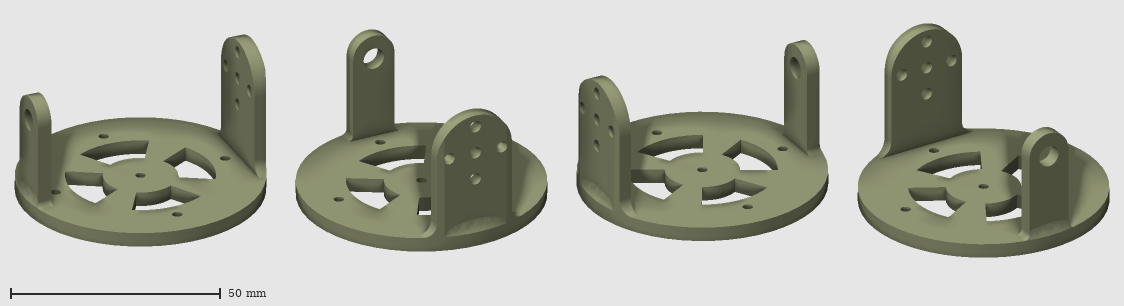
import cadquery as cq
import math

HOLES_PER_CIRCLE = 4
HOLE_ANGLE = 360 / HOLES_PER_CIRCLE

DISC_RADIUS = 30.0
DISC_THICKNESS = 3.6
SCREW_HOLE_DIAMETER = 2.5
SCREW_CIRCLE_RADIUS = 22.0

WINDOW_COUNT = 4
WINDOW_INNER_RADIUS = 9.0
WINDOW_OUTER_RADIUS = 18.0
WINDOW_HALF_ANGLE = 30.0

PIVOT_HEIGHT = 24.37
REAR_WIDTH = 20.0
REAR_INNER_Y = 25.25
REAR_OUTER_Y = 28.85
REAR_TOP_Z = PIVOT_HEIGHT + REAR_WIDTH / 2
REAR_FOOT_RADIUS = 3.4
HORN_HOLE_DIAMETER = 3.0
HORN_HOLE_OFFSET = 7.0

FRONT_WIDTH = 11.0
FRONT_INNER_Y = 25.5
FRONT_OUTER_Y = 29.0
FRONT_TOP_Z = 30.5
FRONT_FOOT_RADIUS = 1.4
PIVOT_HOLE_DIAMETER = 5.4

RIM_BLEND_RADIUS = 4.7
BLEND_SECTIONS = 9
BLEND_OVERLAP = 0.5
BLEND_CHORD_SHARE = 0.97


def polar(radius, angle):
    """Point at a radius and an angle in degrees."""
    return radius * math.cos(math.radians(angle)), radius * math.sin(math.radians(angle))


def make_disc():
    """Round base plate."""
    return cq.Workplane("XY").circle(DISC_RADIUS).extrude(DISC_THICKNESS)


def make_window(angle):
    """Ring sector between two radial sides, centred on an angle."""
    start = angle - WINDOW_HALF_ANGLE
    end = angle + WINDOW_HALF_ANGLE
    return (
        cq.Workplane("XY")
        .moveTo(*polar(WINDOW_INNER_RADIUS, start))
        .lineTo(*polar(WINDOW_OUTER_RADIUS, start))
        .threePointArc(polar(WINDOW_OUTER_RADIUS, angle), polar(WINDOW_OUTER_RADIUS, end))
        .lineTo(*polar(WINDOW_INNER_RADIUS, end))
        .threePointArc(polar(WINDOW_INNER_RADIUS, angle), polar(WINDOW_INNER_RADIUS, start))
        .close()
        .extrude(DISC_THICKNESS)
    )


def arm_plate(width, top_z, foot_radius, y_min, y_max):
    """Upright round-topped plate with flared feet, kept inside the disc rim."""
    half = width / 2
    foot = half + foot_radius
    foot_top = DISC_THICKNESS + foot_radius
    plate = (
        cq.Workplane("XZ", origin=(0, y_max, 0))
        .moveTo(-foot, 0)
        .lineTo(-foot, DISC_THICKNESS)
        .radiusArc((-half, foot_top), -foot_radius)
        .lineTo(-half, top_z - half)
        .threePointArc((0, top_z), (half, top_z - half))
        .lineTo(half, foot_top)
        .radiusArc((foot, DISC_THICKNESS), -foot_radius)
        .lineTo(foot, 0)
        .close()
        .extrude(y_max - y_min)
    )
    return plate.intersect(cq.Workplane("XY").circle(DISC_RADIUS).extrude(top_z))


def blend_section(x, outer_y):
    """Section across the rim blend: tangent to the arm face and ending on the top edge of the rim."""
    reach = math.sqrt(DISC_RADIUS**2 - x**2) - outer_y
    rise = math.sqrt(2 * RIM_BLEND_RADIUS * reach - reach**2)
    inner_y = outer_y - BLEND_OVERLAP
    return (
        cq.Workplane("YZ", origin=(x, 0, 0))
        .moveTo(inner_y, DISC_THICKNESS)
        .lineTo(outer_y + reach, DISC_THICKNESS)
        .radiusArc((outer_y, DISC_THICKNESS + rise), RIM_BLEND_RADIUS)
        .lineTo(inner_y, DISC_THICKNESS + rise)
        .close()
        .val()
    )


def rim_blend(outer_y, half_length):
    """Concave blend from the outer face of an arm (at +Y) down to the rim."""
    sections = []
    for index in range(BLEND_SECTIONS):
        fraction = 2 * index / (BLEND_SECTIONS - 1) - 1
        sections.append(blend_section(fraction * half_length, outer_y))
    return cq.Workplane(cq.Solid.makeLoft(sections))


def make_arm(width, top_z, foot_radius, inner_y, outer_y):
    """Arm standing on the +Y side of the disc, blended into the rim behind it."""
    plate = arm_plate(width, top_z, foot_radius, inner_y, outer_y)
    envelope = arm_plate(width, top_z, foot_radius, inner_y, DISC_RADIUS)
    face_half_chord = math.sqrt(DISC_RADIUS**2 - outer_y**2)
    half_length = min(width / 2 + foot_radius, BLEND_CHORD_SHARE * face_half_chord)
    return plate.union(rim_blend(outer_y, half_length).intersect(envelope))


def holes_along_y(points, diameter, y_min, y_max):
    """Pins along Y at (x, z) points, for cutting holes through an arm."""
    return (
        cq.Workplane("XZ", origin=(0, y_max, 0))
        .pushPoints(points)
        .circle(diameter / 2)
        .extrude(y_max - y_min)
    )


def screw_holes(points):
    """Pins along Z at (x, y) points, for cutting screw holes through the disc."""
    return (
        cq.Workplane("XY")
        .pushPoints(points)
        .circle(SCREW_HOLE_DIAMETER / 2)
        .extrude(DISC_THICKNESS)
    )


rear_arm = make_arm(REAR_WIDTH, REAR_TOP_Z, REAR_FOOT_RADIUS, REAR_INNER_Y, REAR_OUTER_Y)
front_arm = make_arm(FRONT_WIDTH, FRONT_TOP_Z, FRONT_FOOT_RADIUS, FRONT_INNER_Y, FRONT_OUTER_Y)
front_arm = front_arm.rotate((0, 0, 0), (0, 0, 1), 180)
body = make_disc().union(rear_arm).union(front_arm)

horn_points = [(0, PIVOT_HEIGHT)]
screw_points = [(0, 0)]
for step in range(HOLES_PER_CIRCLE):
    horn_dx, horn_dz = polar(HORN_HOLE_OFFSET, step * HOLE_ANGLE)
    horn_points.append((horn_dx, PIVOT_HEIGHT + horn_dz))
    screw_points.append(polar(SCREW_CIRCLE_RADIUS, step * HOLE_ANGLE))

body = body.cut(holes_along_y(horn_points, HORN_HOLE_DIAMETER, REAR_INNER_Y, REAR_OUTER_Y))
body = body.cut(holes_along_y([(0, PIVOT_HEIGHT)], PIVOT_HOLE_DIAMETER, -FRONT_OUTER_Y, -FRONT_INNER_Y))
body = body.cut(screw_holes(screw_points))
for index in range(WINDOW_COUNT):
    body = body.cut(make_window(index * 360 / WINDOW_COUNT))

result = body